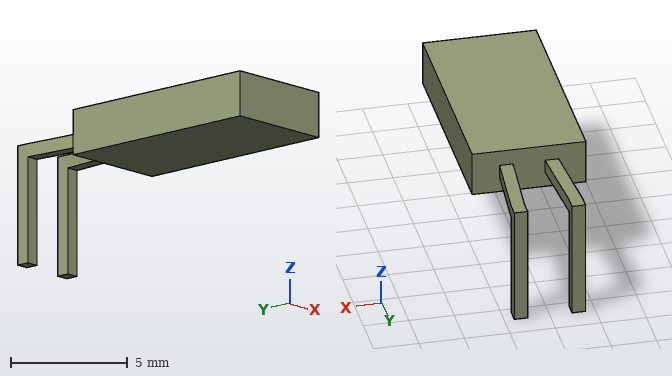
import cadquery as cq

body_width = 5.0
body_length = 9.72
body_height = 2.0

overall_length = 13.81
overall_height = 6.0
lead_size = 0.6
root_spacing = 2.0
tip_spacing = 2.54

lead_top = (body_height + lead_size) / 2
lead_bottom = body_height - overall_height
bend_start = overall_length - lead_size


def make_lead(side):
    """One lead: side is -1 for the left lead and +1 for the right lead."""
    half = lead_size / 2
    root_x = side * root_spacing / 2
    tip_x = side * tip_spacing / 2

    arm = (
        cq.Workplane("XY", origin=(0, 0, lead_top - lead_size))
        .moveTo(root_x - half, body_length)
        .lineTo(root_x + half, body_length)
        .lineTo(tip_x + half, bend_start)
        .lineTo(tip_x - half, bend_start)
        .close()
        .extrude(lead_size)
    )
    pin = cq.Workplane("XY", origin=(tip_x, bend_start, lead_bottom)).box(
        lead_size, lead_size, lead_top - lead_bottom, centered=(True, False, False)
    )
    return arm.union(pin)


result = cq.Workplane("XY").box(
    body_width, body_length, body_height, centered=(True, False, False)
)
for side in (-1, 1):
    result = result.union(make_lead(side))